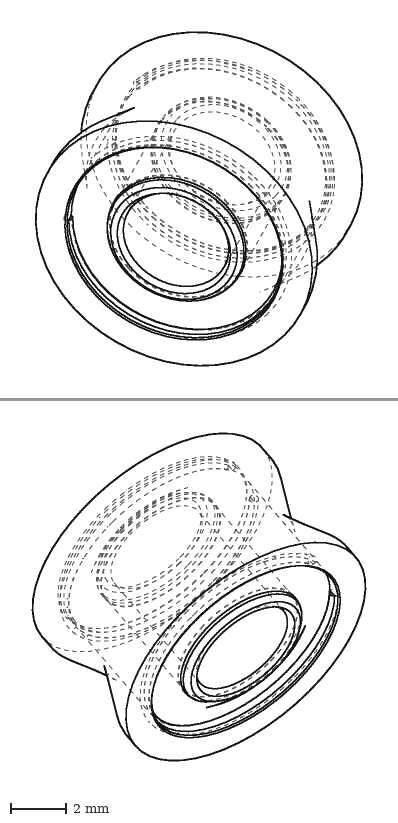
import cadquery as cq
import math


width = 6.0
half_width = width / 2
outer_radius = 10.5 / 2

groove_root_radius = 4.31
groove_flank_angle = math.radians(22.5)
groove_fillet = 0.5

opening_radius = 4.08
opening_chamfer = 0.06

bore_radius = 2.0
bore_chamfer_radial = 0.15
bore_chamfer_axial = 0.25
inner_ring_radius = 2.6
inner_ring_chamfer_radial = 0.2
inner_ring_chamfer_axial = 0.2

lip_clearance = 0.03
lip_thickness = 0.2
hub_recess = 0.32
floor_recess = 0.57
hub_flank_radius = 2.96
floor_flank_radius = 3.27
flank_fillet = 0.14

wire_radius = 0.165
wire_inner_radius = 3.985
wire_seat_depth = 0.02
wire_gap_angle = 40.0
wire_first_end_angle = 50.0


def ring_profile(points):
    """Closed outline of (radius, axial position) points."""
    return cq.Workplane("ZY").polyline(points).close()


def turn(profile, angle=360.0):
    """Revolve an outline about the Y axis."""
    return profile.revolve(angle, (0, 0, 0), (0, 1, 0))


def circles_at(radius, axial_position):
    """Selector for the circular edges of one radius on both sides of the middle plane."""
    margin = 0.01

    def box(reach, y):
        low = (-reach, y - margin, -reach)
        high = (reach, y + margin, reach)
        return cq.selectors.BoxSelector(low, high, boundingbox=True)

    def band(y):
        return box(radius + margin, y) - box(radius - margin, y)

    return band(axial_position) + band(-axial_position)


def make_outer_ring():
    apex_radius = groove_root_radius - groove_fillet * (1 / math.cos(groove_flank_angle) - 1)
    shoulder = (outer_radius - apex_radius) / math.tan(groove_flank_angle)
    mouth_radius = opening_radius + opening_chamfer
    chamfer_end = half_width - opening_chamfer
    profile = ring_profile([
        (mouth_radius, half_width),
        (outer_radius, half_width),
        (outer_radius, shoulder),
        (apex_radius, 0),
        (outer_radius, -shoulder),
        (outer_radius, -half_width),
        (mouth_radius, -half_width),
        (opening_radius, -chamfer_end),
        (opening_radius, chamfer_end),
    ])
    ring = turn(profile)
    ring = ring.edges(circles_at(apex_radius, 0)).fillet(groove_fillet)
    return ring.edges(circles_at(outer_radius, shoulder)).fillet(groove_fillet)


def make_inner_ring():
    face_outer = inner_ring_radius - inner_ring_chamfer_radial
    face_inner = bore_radius + bore_chamfer_radial
    outer_chamfer_end = half_width - inner_ring_chamfer_axial
    bore_chamfer_end = half_width - bore_chamfer_axial
    return turn(ring_profile([
        (face_inner, half_width),
        (face_outer, half_width),
        (inner_ring_radius, outer_chamfer_end),
        (inner_ring_radius, -outer_chamfer_end),
        (face_outer, -half_width),
        (face_inner, -half_width),
        (bore_radius, -bore_chamfer_end),
        (bore_radius, bore_chamfer_end),
    ]))


def make_wire():
    """Round wire seated in the -Y shield floor, its gap lying in the -X, +Z quadrant."""
    center_radius = wire_inner_radius + wire_radius
    center_y = -half_width + floor_recess + wire_seat_depth - wire_radius
    section = cq.Workplane("ZY").moveTo(center_radius, center_y).circle(wire_radius)
    wire = turn(section, 360.0 - wire_gap_angle)
    return wire.rotate((0, 0, 0), (0, 1, 0), -wire_first_end_angle)


def make_shield():
    hub_y = half_width - hub_recess
    floor_y = half_width - floor_recess
    lip_radius = inner_ring_radius + lip_clearance
    lip_end = hub_y - lip_thickness
    shield = turn(ring_profile([
        (inner_ring_radius, lip_end),
        (lip_radius, lip_end),
        (lip_radius, hub_y),
        (hub_flank_radius, hub_y),
        (floor_flank_radius, floor_y),
        (opening_radius, floor_y),
        (opening_radius, -floor_y),
        (floor_flank_radius, -floor_y),
        (hub_flank_radius, -hub_y),
        (lip_radius, -hub_y),
        (lip_radius, -lip_end),
        (inner_ring_radius, -lip_end),
    ]))
    shield = shield.edges(circles_at(hub_flank_radius, hub_y)).fillet(flank_fillet)
    shield = shield.edges(circles_at(floor_flank_radius, floor_y)).fillet(flank_fillet)
    front_wire = make_wire()
    back_wire = front_wire.mirror("XZ")
    return shield.union(front_wire).union(back_wire)


inner_ring = make_inner_ring()
shield = make_shield()
outer_ring = make_outer_ring().cut(shield)
result = cq.Compound.makeCompound([outer_ring.val(), inner_ring.val(), shield.val()])